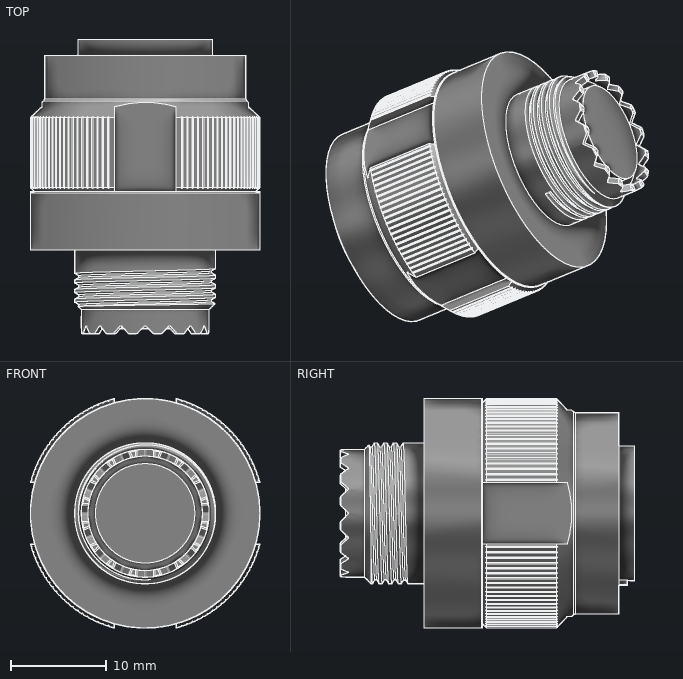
import cadquery as cq
import math


overall_length = 31.0
nose_length = 2.59
barrel_end = 8.84
flange_end = 14.87
knurl_start = 15.42
cone_start = 22.79
rear_ring_start = 24.76
rear_ring_end = 29.33

nose_radius = 6.73
barrel_radius = 7.42
flange_radius = 12.085
grip_radius = 12.5
rear_ring_radius = 10.6
rear_spigot_radius = 7.1

relief_width = 0.13
relief_depth = 0.35
cone_foot_length = 0.21
cone_foot_radius = rear_ring_radius + 0.1

thread_pitch = 1.01
thread_depth = 0.42
thread_root_width = 0.2
thread_flank_angle = 30.0
thread_start = 2.52
thread_turns = 4.3

tooth_count = 16
tooth_gap_sharp_depth = 0.93
tooth_gap_angle = 90.0
tooth_root_fillet = 0.1
tooth_tip_chamfer = 0.1
crown_inner_radius = 6.02
core_radius = 5.23
core_recess = 0.57
annulus_depth = 1.4

flat_count = 4
flat_distance = 10.87
flat_width = 6.5

grooves_per_sector = 21
groove_spacing = 2.775
first_groove_angle = 18.07
groove_width = 0.16
groove_depth = 0.1

key_start = rear_ring_end
key_end = 30.23
key_width = 2.4
key_tip_radius = 7.6

overlap = 0.2


def make_turned_body():
    chamfer_length = barrel_radius - nose_radius
    relief_radius = grip_radius - relief_depth - relief_width
    front_chamfer = knurl_start - flange_end - relief_width
    outline = [
        (0, 0),
        (nose_radius - tooth_tip_chamfer, 0),
        (nose_radius, tooth_tip_chamfer),
        (nose_radius, nose_length),
        (barrel_radius, nose_length + chamfer_length),
        (barrel_radius, barrel_end),
        (flange_radius, barrel_end),
        (flange_radius, flange_end),
        (relief_radius, flange_end),
        (grip_radius - front_chamfer, flange_end + relief_width),
        (grip_radius, knurl_start),
        (grip_radius, cone_start),
        (cone_foot_radius, rear_ring_start - cone_foot_length),
        (rear_ring_radius, rear_ring_start),
        (rear_ring_radius, rear_ring_end),
        (rear_spigot_radius, rear_ring_end),
        (rear_spigot_radius, overall_length),
        (0, overall_length),
    ]
    return cq.Workplane("XZ").polyline(outline).close().revolve(360, (0, 0), (0, 1))


def make_tip_recess():
    core_clearance = cq.Workplane("XY").circle(crown_inner_radius).extrude(core_recess)
    annulus = cq.Workplane("XY").circle(crown_inner_radius).circle(core_radius).extrude(annulus_depth)
    return core_clearance.union(annulus)


def make_tooth_gaps():
    inner = (crown_inner_radius + core_radius) / 2
    outer = nose_radius + overlap
    half_mouth = tooth_gap_sharp_depth * math.tan(math.radians(tooth_gap_angle / 2))
    half_clearance = half_mouth + overlap
    gap = (
        cq.Workplane("YZ")
        .workplane(offset=inner)
        .polyline([
            (-half_clearance, -overlap),
            (half_clearance, -overlap),
            (half_clearance, 0),
            (half_mouth, 0),
            (0, tooth_gap_sharp_depth),
            (-half_mouth, 0),
            (-half_clearance, 0),
        ])
        .close()
        .extrude(outer - inner)
        .edges("|X and >Z")
        .fillet(tooth_root_fillet)
    )
    middle = (inner + outer) / 2
    for side in (-1, 1):
        tip_edge = cq.selectors.NearestToPointSelector((middle, side * half_mouth, 0))
        gap = gap.edges("|X").edges(tip_edge).chamfer(tooth_tip_chamfer)
    gap = gap.val()
    step = 360 / tooth_count
    return [gap.rotate((0, 0, 0), (0, 0, 1), i * step) for i in range(tooth_count)]


def make_thread_groove():
    root_radius = barrel_radius - thread_depth
    mouth_radius = barrel_radius + overlap
    root_half = thread_root_width / 2
    flank = math.tan(math.radians(thread_flank_angle))
    mouth_half = root_half + (mouth_radius - root_radius) * flank
    path = cq.Wire.makeHelix(thread_pitch, thread_pitch * thread_turns, barrel_radius)
    groove = (
        cq.Workplane("XZ")
        .polyline([
            (root_radius, -root_half),
            (mouth_radius, -mouth_half),
            (mouth_radius, mouth_half),
            (root_radius, root_half),
        ])
        .close()
        .sweep(cq.Workplane(path), isFrenet=True)
    )
    return groove.translate((0, 0, thread_start))


def make_flat_cutters():
    cut_depth = grip_radius - flat_distance + overlap
    cutter = (
        cq.Workplane("XY")
        .workplane(offset=flange_end + relief_width)
        .center(flat_distance + cut_depth / 2, 0)
        .rect(cut_depth, flat_width)
        .extrude(rear_ring_start - flange_end - relief_width)
        .val()
    )
    step = 360 / flat_count
    return [cutter.rotate((0, 0, 0), (0, 0, 1), i * step) for i in range(flat_count)]


def make_knurl_grooves():
    flank_slope = groove_width / 2 / groove_depth
    mouth_half = (groove_depth + overlap) * flank_slope
    mouth_radius = grip_radius + overlap
    groove = (
        cq.Workplane("XY")
        .workplane(offset=flange_end + relief_width)
        .polyline([
            (grip_radius - groove_depth, 0),
            (mouth_radius, -mouth_half),
            (mouth_radius, mouth_half),
        ])
        .close()
        .extrude(rear_ring_start - flange_end - relief_width)
        .val()
    )
    grooves = []
    for pole in (90, 270):
        for side in (-1, 1):
            for i in range(grooves_per_sector):
                angle = pole + side * (first_groove_angle + i * groove_spacing)
                grooves.append(groove.rotate((0, 0, 0), (0, 0, 1), angle))
    return grooves


def make_key():
    key_length = key_end - key_start
    blank = (
        cq.Workplane("XY")
        .workplane(offset=key_start)
        .center(0, key_tip_radius / 2)
        .rect(key_width, key_tip_radius)
        .extrude(key_length)
    )
    tip_round = cq.Workplane("XY").workplane(offset=key_start).circle(key_tip_radius).extrude(key_length)
    return blank.intersect(tip_round)


def cut_all(body, cutters):
    return cq.Workplane(body.val().cut(*cutters))


part = make_turned_body().cut(make_tip_recess())
part = cut_all(part, make_tooth_gaps())
part = part.cut(make_thread_groove())
part = cut_all(part, make_flat_cutters())
part = cut_all(part, make_knurl_grooves())
part = part.union(make_key())

result = part.rotate((0, 0, 0), (1, 0, 0), -90)